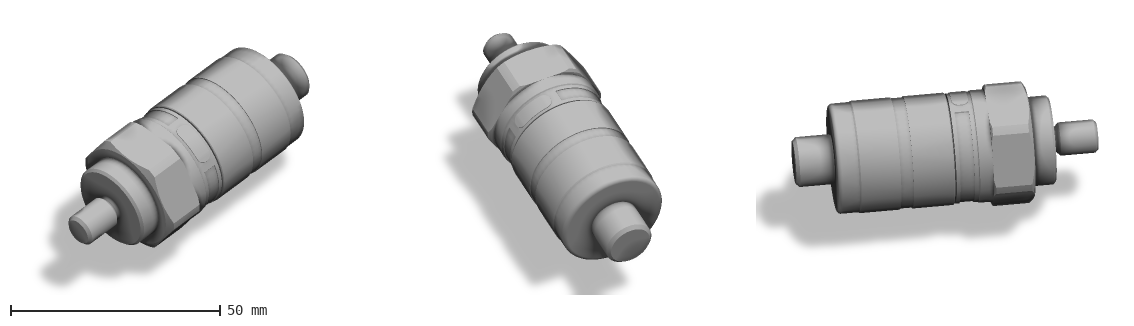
import cadquery as cq
import math


stud_radius = 4.0
stud_tip_y = -16.37
stud_tip_chamfer = 0.75
stud_shoulder_y = -7.23
neck_radius = 3.05
neck_fillet = 0.4

collar_radius = 10.7
collar_front_y = -5.45
collar_chamfer = 0.6
collar_root = 0.15

hex_across_flats = 27.0
hex_corner_radius = 14.995
hex_length = 10.1
hex_front_face_radius = 13.25
hex_back_face_radius = 14.3
hex_chamfer_angle = math.radians(30)

body_radius = hex_across_flats / 2
band_radius = 13.25
edge_chamfer = 0.2
ring_back_y = 13.55
label_band_back_y = 19.0
groove_radius = 12.2
groove_width = 0.35
grip_band_front_y = 29.33
grip_band_back_y = 32.38
cap_front_y = 41.95
cap_step = 0.38
cap_back_y = 47.42
cap_fillet = 1.0

boss_radius = 6.0
boss_back_y = 56.68
boss_chamfer = 0.85
boss_undercut_radius = 5.8
boss_undercut_length = 0.3

recess_depth = 0.27
recess_front_y = 14.6
recess_back_y = 18.05
pad_width = 14.1
pad_tilt = 30.0
window_width = 10.4
window_height = 0.2
window_front_y = 14.3
window_back_y = 18.3
window_corner_radius = 1.7


def revolve_about_y(outline):
    """Revolve a closed outline, drawn with radius along X, about the Y axis."""
    return outline.close().revolve(360, (0, 0, 0), (0, 1, 0))


def corner_inset(radius):
    """Distance, along each axis, from a square corner to the middle of its fillet arc."""
    return radius * (1 - math.cos(math.pi / 4))


def cylinder_along_y(radius, start_y, end_y):
    """Solid cylinder on the Y axis between two stations."""
    return cq.Workplane("XZ", origin=(0, start_y, 0)).circle(radius).extrude(start_y - end_y)


def make_stud_and_collar():
    """Stud, filleted undercut and sealing collar."""
    cone_start_y = stud_shoulder_y + stud_radius - neck_radius
    fillet_offset = corner_inset(neck_fillet)
    outline = (
        cq.Workplane("XY")
        .moveTo(0, stud_tip_y)
        .lineTo(stud_radius - stud_tip_chamfer, stud_tip_y)
        .lineTo(stud_radius, stud_tip_y + stud_tip_chamfer)
        .lineTo(stud_radius, stud_shoulder_y)
        .lineTo(neck_radius, cone_start_y)
        .lineTo(neck_radius, collar_front_y - neck_fillet)
        .threePointArc(
            (neck_radius + fillet_offset, collar_front_y - fillet_offset),
            (neck_radius + neck_fillet, collar_front_y),
        )
        .lineTo(collar_radius - collar_chamfer, collar_front_y)
        .lineTo(collar_radius, collar_front_y + collar_chamfer)
        .lineTo(collar_radius, -collar_root)
        .lineTo(collar_radius + collar_root, 0)
        .lineTo(0, 0)
    )
    return revolve_about_y(outline)


def make_hexagon():
    """Hexagon with flats at top and bottom, corners turned round and both ends chamfered."""
    across_corners = hex_across_flats / math.cos(math.pi / 6)
    prism = cq.Workplane("XZ").polygon(6, across_corners).extrude(-hex_length)
    slope = math.tan(hex_chamfer_angle)
    front_chamfer_length = (hex_corner_radius - hex_front_face_radius) * slope
    back_chamfer_length = (hex_corner_radius - hex_back_face_radius) * slope
    turned_blank = revolve_about_y(
        cq.Workplane("XY")
        .moveTo(0, 0)
        .lineTo(hex_front_face_radius, 0)
        .lineTo(hex_corner_radius, front_chamfer_length)
        .lineTo(hex_corner_radius, hex_length - back_chamfer_length)
        .lineTo(hex_back_face_radius, hex_length)
        .lineTo(0, hex_length)
    )
    return prism.intersect(turned_blank)


def make_body():
    """Stepped cylindrical housing with its groove, bands, rounded cap and connector boss."""
    main_front_y = label_band_back_y + groove_width
    cap_fillet_offset = corner_inset(cap_fillet)
    undercut_end_y = cap_back_y + boss_undercut_length
    outline = (
        cq.Workplane("XY")
        .moveTo(0, hex_length)
        .lineTo(body_radius, hex_length)
        .lineTo(body_radius, ring_back_y - edge_chamfer)
        .lineTo(band_radius, ring_back_y)
        .lineTo(band_radius, label_band_back_y)
        .lineTo(groove_radius, label_band_back_y)
        .lineTo(groove_radius, main_front_y)
        .lineTo(body_radius - edge_chamfer, main_front_y)
        .lineTo(body_radius, main_front_y + edge_chamfer)
        .lineTo(body_radius, grip_band_front_y)
        .lineTo(band_radius, grip_band_front_y)
        .lineTo(band_radius, grip_band_back_y)
        .lineTo(body_radius, grip_band_back_y)
        .lineTo(body_radius, cap_front_y)
        .lineTo(band_radius, cap_front_y + cap_step)
        .lineTo(band_radius, cap_back_y - cap_fillet)
        .threePointArc(
            (band_radius - cap_fillet_offset, cap_back_y - cap_fillet_offset),
            (band_radius - cap_fillet, cap_back_y),
        )
        .lineTo(boss_undercut_radius, cap_back_y)
        .lineTo(boss_undercut_radius, undercut_end_y)
        .lineTo(boss_radius, undercut_end_y)
        .lineTo(boss_radius, boss_back_y - boss_chamfer)
        .lineTo(boss_radius - boss_chamfer, boss_back_y)
        .lineTo(0, boss_back_y)
    )
    return revolve_about_y(outline)


def make_radial_block(width, front_y, back_y):
    """Straight-sided block from the axis out past the body, leaning by the pad tilt to +X."""
    middle_y = (front_y + back_y) / 2
    block = cq.Workplane("XY").center(0, middle_y).rect(width, back_y - front_y).extrude(2 * body_radius)
    return block.rotate((0, 0, 0), (0, 1, 0), pad_tilt)


def make_label_recess():
    """Shallow ring to remove from the label band, leaving the pad standing."""
    floor_radius = band_radius - recess_depth
    ring = cylinder_along_y(body_radius, recess_front_y, recess_back_y).cut(
        cylinder_along_y(floor_radius, recess_front_y, recess_back_y)
    )
    return ring.cut(make_radial_block(pad_width, recess_front_y, recess_back_y))


def make_window():
    """Rounded window standing slightly proud of the pad."""
    block = make_radial_block(window_width, window_front_y, window_back_y)
    lean = math.radians(pad_tilt)
    pad_direction = cq.Vector(math.sin(lean), 0, math.cos(lean))
    block = block.edges(cq.selectors.ParallelDirSelector(pad_direction)).fillet(window_corner_radius)
    return block.intersect(cylinder_along_y(band_radius + window_height, window_front_y, window_back_y))


sensor = make_stud_and_collar().union(make_hexagon()).union(make_body())
result = sensor.cut(make_label_recess()).union(make_window())